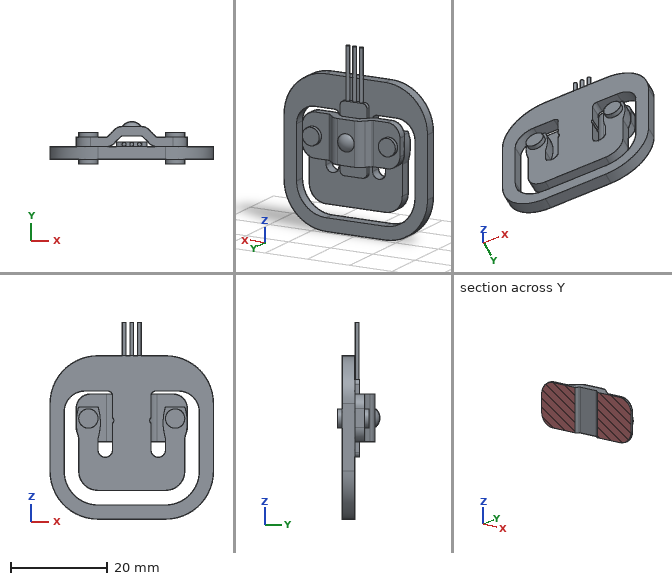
import cadquery as cq
import math


plate_size = 34.0
plate_thickness = 2.6
frame_radius = 10.0
frame_wall = 3.0
window_top_z = 9.6
window_top_radius = 4.3
window_inner_fillet = 1.0
tongue_width = 8.0
slot_width = 3.0
slot_bottom_z = -4.1

arm_top_z = 6.35
arm_bulge_start_z = -0.15
arm_bulge = 0.5
arm_corner_radius = 0.33

notch_z = 3.5
notch_height = 1.1
notch_depth = 0.3

boss_diameter = 4.0
boss_height = 1.0
boss_z = 3.93

bracket_z = 4.05
bracket_length = 23.1
bracket_height = 10.0
bracket_thickness = 2.0
bracket_corner_radius = 3.0
bridge_rise = 2.2
bridge_flat_length = 4.0
bridge_foot_span = 10.5
bend_inner_radius = 0.3
bend_angle = math.radians(57)
dome_diameter = 3.93
dome_height = 1.02

pad_width = 6.35
pad_thickness = 1.0
pad_top_z = 12.02
pad_bottom_z = -4.1
pad_corner_radius = 1.0
wire_diameter = 0.8
wire_pitch = 1.6
wire_count = 3
wire_rise = 6.9

plate_half = plate_size / 2
window_half = plate_half - frame_wall
paddle_half = window_half - frame_wall
paddle_bottom_z = -window_half + frame_wall
window_bottom_radius = frame_radius - frame_wall
paddle_radius = window_bottom_radius - frame_wall
tongue_half = tongue_width / 2
arm_inner_x = tongue_half + slot_width
boss_x = (arm_inner_x + paddle_half) / 2


def upright_sketch(y):
    """Workplane parallel to the plate at depth y; its normal is -Y, so negative extrusions go to +Y."""
    return cq.Workplane("XZ", origin=(0, y, 0))


def arc_point(center_x, center_z, radius, angle):
    """Point on a corner arc at the given angle in degrees."""
    turn = math.radians(angle)
    return center_x + radius * math.cos(turn), center_z + radius * math.sin(turn)


def window_profile(workplane):
    """Right half of the window between frame and paddle, with the slot beside the tongue."""
    bulge_mid_z = (arm_top_z + arm_bulge_start_z) / 2
    slot_arc_z = slot_bottom_z + slot_width / 2
    slot_mid_x = tongue_half + slot_width / 2
    top_arc_x = window_half - window_top_radius
    top_arc_z = window_top_z - window_top_radius
    bottom_arc = window_half - window_bottom_radius
    bottom_arc_mid = arc_point(bottom_arc, -bottom_arc, window_bottom_radius, -45)
    paddle_x = paddle_half - paddle_radius
    paddle_z = paddle_bottom_z + paddle_radius
    paddle_arc_mid = arc_point(paddle_x, paddle_z, paddle_radius, -45)
    fillet_x = tongue_half + window_inner_fillet
    fillet_z = window_top_z - window_inner_fillet
    half_notch = notch_height / 2

    right_half = [
        ("line", (bottom_arc, -window_half)),
        ("arc", bottom_arc_mid, (window_half, -bottom_arc)),
        ("line", (window_half, top_arc_z)),
        ("arc", arc_point(top_arc_x, top_arc_z, window_top_radius, 45), (top_arc_x, window_top_z)),
        ("line", (fillet_x, window_top_z)),
        ("arc", arc_point(fillet_x, fillet_z, window_inner_fillet, 135), (tongue_half, fillet_z)),
        ("line", (tongue_half, notch_z + half_notch)),
        ("arc", (tongue_half - notch_depth, notch_z), (tongue_half, notch_z - half_notch)),
        ("line", (tongue_half, slot_arc_z)),
        ("arc", (slot_mid_x, slot_bottom_z), (arm_inner_x, slot_arc_z)),
        ("line", (arm_inner_x, arm_bulge_start_z)),
        ("arc", (arm_inner_x - arm_bulge, bulge_mid_z), (arm_inner_x, arm_top_z)),
        ("line", (paddle_half, arm_top_z)),
        ("arc", (paddle_half + arm_bulge, bulge_mid_z), (paddle_half, arm_bulge_start_z)),
        ("line", (paddle_half, paddle_z)),
        ("arc", paddle_arc_mid, (paddle_x, paddle_bottom_z)),
        ("line", (0, paddle_bottom_z)),
    ]
    profile = workplane.moveTo(0, -window_half)
    for kind, *points in right_half:
        if kind == "line":
            profile = profile.lineTo(*points[0])
        else:
            profile = profile.threePointArc(*points)
    return profile.close()


def boss(x, y):
    """Round boss standing on the face at depth y, extending toward +Y."""
    return upright_sketch(y).center(x, boss_z).circle(boss_diameter / 2).extrude(-boss_height)


def make_plate():
    blank = upright_sketch(0).rect(plate_size, plate_size).extrude(-plate_thickness)
    blank = blank.edges("|Y").fillet(frame_radius)
    right_window = window_profile(upright_sketch(0)).extrude(-plate_thickness)
    for corner_x in (arm_inner_x, paddle_half):
        arm_corner = cq.selectors.NearestToPointSelector((corner_x, plate_thickness / 2, arm_top_z))
        right_window = right_window.edges(arm_corner).fillet(arm_corner_radius)
    plate = blank.cut(right_window).cut(right_window.mirror("YZ"))
    for side in (-1, 1):
        plate = plate.union(boss(side * boss_x, -boss_height))
    return plate


def bracket_profile():
    """Closed bent-strap outline in X and Y, symmetric about X = 0."""
    outer_radius = bend_inner_radius + bracket_thickness
    foot_y = plate_thickness
    foot_back_y = foot_y + bracket_thickness
    bridge_y = foot_y + bridge_rise
    bridge_back_y = bridge_y + bracket_thickness
    end_x = bracket_length / 2
    foot_x = bridge_foot_span / 2
    flat_x = bridge_flat_length / 2
    upper_center_y = bridge_y - bend_inner_radius
    lower_center_y = foot_back_y + bend_inner_radius

    def upper(radius, angle):
        return flat_x + radius * math.sin(angle), upper_center_y + radius * math.cos(angle)

    def lower(radius, angle):
        return foot_x - radius * math.sin(angle), lower_center_y - radius * math.cos(angle)

    half_angle = bend_angle / 2
    return (
        cq.Workplane("XY")
        .moveTo(0, bridge_back_y)
        .lineTo(flat_x, bridge_back_y)
        .threePointArc(upper(outer_radius, half_angle), upper(outer_radius, bend_angle))
        .lineTo(*lower(bend_inner_radius, bend_angle))
        .threePointArc(lower(bend_inner_radius, half_angle), (foot_x, foot_back_y))
        .lineTo(end_x, foot_back_y)
        .lineTo(end_x, foot_y)
        .lineTo(foot_x, foot_y)
        .threePointArc(lower(outer_radius, half_angle), lower(outer_radius, bend_angle))
        .lineTo(*upper(bend_inner_radius, bend_angle))
        .threePointArc(upper(bend_inner_radius, half_angle), (flat_x, bridge_y))
        .lineTo(0, bridge_y)
        .mirrorY()
    )


def make_dome():
    """Spherical cap on the back of the bridge."""
    base_radius = dome_diameter / 2
    sphere_radius = (base_radius ** 2 + dome_height ** 2) / (2 * dome_height)
    base_y = plate_thickness + bridge_rise + bracket_thickness
    center_y = base_y + dome_height - sphere_radius
    sphere = cq.Workplane("XY").sphere(sphere_radius).translate((0, center_y, bracket_z))
    keep = upright_sketch(base_y).center(0, bracket_z).circle(base_radius).extrude(-dome_height)
    return sphere.intersect(keep)


def make_bracket():
    strap = bracket_profile().extrude(bracket_height / 2, both=True)
    for end in ("<X", ">X"):
        strap = strap.faces(end).edges("|Y").fillet(bracket_corner_radius)
    bracket = strap.translate((0, 0, bracket_z)).union(make_dome())
    for side in (-1, 1):
        bracket = bracket.union(boss(side * boss_x, plate_thickness + bracket_thickness))
    return bracket


def make_pad():
    pad_height = pad_top_z - pad_bottom_z
    pad = upright_sketch(plate_thickness).center(0, (pad_top_z + pad_bottom_z) / 2)
    pad = pad.rect(pad_width, pad_height).extrude(-pad_thickness)
    return pad.edges("|Y").fillet(pad_corner_radius)


def make_wire(x):
    """Straight wire rising from the top edge of the pad."""
    wire_length = plate_half + wire_rise - pad_top_z
    wire_y = plate_thickness + pad_thickness / 2
    return cq.Workplane("XY", origin=(x, wire_y, pad_top_z)).circle(wire_diameter / 2).extrude(wire_length)


plate = make_plate()
bracket = make_bracket()
pad = make_pad()
wires = [make_wire((index - (wire_count - 1) / 2) * wire_pitch) for index in range(wire_count)]

result = cq.Compound.makeCompound(
    [plate.val(), bracket.val(), pad.val(), *[wire.val() for wire in wires]]
)